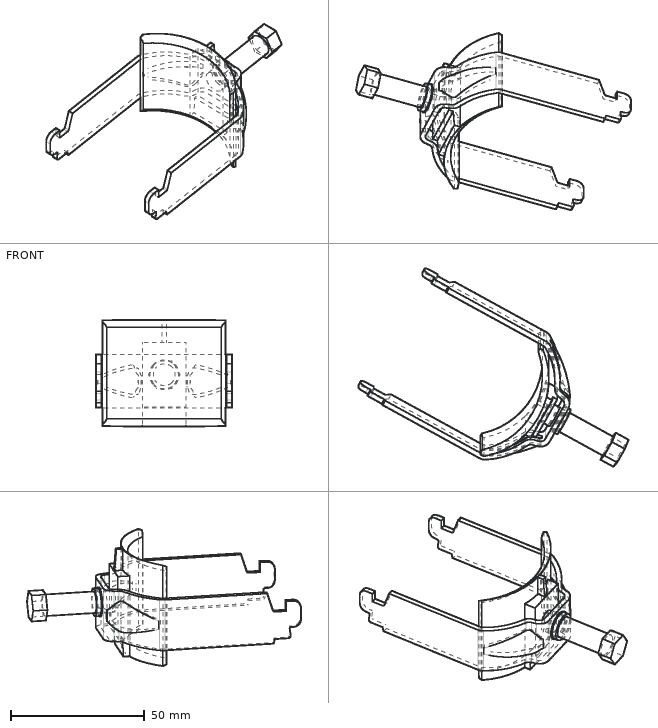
import cadquery as cq
import math


strap_thickness = 2.0
strap_bottom = -12.9
strap_height = 19.9
strap_top = strap_bottom + strap_height
strap_mid_z = strap_bottom + strap_height / 2
leg_outer_x = 25.5
leg_end_y = -71.9
back_corner_x = 10.2
valley_x = 11.6
valley_y = -6.2
shoulder_mid_x = 19.2
shoulder_mid_y = -10.9
leg_start_y = -18.7
back_bend_radius = 4.0
valley_bend_radius = 2.5
leg_bend_radius = 3.9

slot_floor_z = -0.4
slot_front_y = -59.0
slot_floor_start_y = -61.4
slot_end_y = -66.3
hook_top_z = 3.4
hook_bottom_z = -6.8
hook_radius = 3.0
tooth_root_y = -67.5
tooth_tip_y = -68.2
tooth_bottom_z = -11.1
tooth_start_y = -61.9
tooth_radius = 1.1
step_y = -61.5
inner_corner_radius = 0.6

bulge_axis_x = -14.3
bulge_axis_y = -37.6
bulge_crest_radius = 44.1
bulge_tube_radius = 7.5
bulge_start_angle = 27.0
bulge_sweep_angle = 30.0

bolt_z = -0.5
shaft_diameter = 8.2
shaft_end_y = -5.3
head_across_flats = 10.2
head_height = 5.5
head_top_y = 26.6

collar_height = 2.1
collar_diameter = 10.6
collar_foot_height = 0.4
collar_foot_bevel_height = 0.3
collar_foot_diameter = 11.1

saddle_height = 40.0
saddle_half_width = 23.0
saddle_end_y = -21.0
saddle_back_y = -8.7
saddle_outer_radius = 29.8
saddle_inner_radius = 28.8
saddle_thickness = 2.7
lip_height = 2.9
lip_depth = 2.5
lip_radius = 4.4
block_width = 16.45
block_height = 24.3
rib_width = 1.7
rib_foot_y = -5.6
rib_tip_y = -6.3
apron_foot_y = -7.1
apron_tip_y = -7.5


def fillet_at(body, direction, radius, points):
    """Round the edges that run along the given axis nearest to each point."""
    for point in points:
        edge = body.edges(f"|{direction}").edges(cq.NearestToPointSelector(point))
        body = edge.fillet(radius)
    return body


def strap_outer_form():
    """Filled form whose skin is the outer face of the strap, with legs left too long."""
    overrun_y = leg_end_y - 2 * strap_thickness
    form = (
        cq.Workplane("XY", origin=(0, 0, strap_bottom))
        .moveTo(-back_corner_x, 0)
        .lineTo(back_corner_x, 0)
        .lineTo(valley_x, valley_y)
        .threePointArc((shoulder_mid_x, shoulder_mid_y), (leg_outer_x, leg_start_y))
        .lineTo(leg_outer_x, overrun_y)
        .lineTo(-leg_outer_x, overrun_y)
        .lineTo(-leg_outer_x, leg_start_y)
        .threePointArc((-shoulder_mid_x, shoulder_mid_y), (-valley_x, valley_y))
        .close()
        .extrude(strap_height)
    )
    bends = [
        (back_corner_x, 0, back_bend_radius),
        (valley_x, valley_y, valley_bend_radius),
        (leg_outer_x, leg_start_y, leg_bend_radius),
    ]
    for x, y, radius in bends:
        form = fillet_at(form, "Z", radius, [(x, y, strap_mid_z), (-x, y, strap_mid_z)])
    return form


def bulge_tube(tube_radius):
    """The pair of bent tubes that form the bulges, one on each shoulder."""
    spine_radius = bulge_crest_radius - bulge_tube_radius
    tube = (
        cq.Workplane("XZ")
        .center(spine_radius, 0)
        .circle(tube_radius)
        .revolve(bulge_sweep_angle, (-spine_radius, 0, 0), (-spine_radius, 1, 0))
        .rotate((0, 0, 0), (0, 0, 1), bulge_start_angle)
        .translate((bulge_axis_x, bulge_axis_y, strap_mid_z))
    )
    return tube.union(tube.mirror("YZ"))


def leg_side_form():
    """Side outline of the strap with the hooked leg end, extruded across both legs."""
    form = (
        cq.Workplane("YZ", origin=(-leg_outer_x, 0, 0))
        .polyline([
            (0, strap_bottom),
            (0, strap_top),
            (slot_front_y, strap_top),
            (slot_floor_start_y, slot_floor_z),
            (slot_end_y, slot_floor_z),
            (slot_end_y, hook_top_z),
            (leg_end_y, hook_top_z),
            (leg_end_y, hook_bottom_z),
            (tooth_root_y, hook_bottom_z),
            (tooth_tip_y, tooth_bottom_z),
            (tooth_start_y, tooth_bottom_z),
            (step_y, strap_bottom),
        ])
        .close()
        .extrude(2 * leg_outer_x)
    )
    hook_corners = [(0, leg_end_y, hook_top_z), (0, leg_end_y, hook_bottom_z)]
    form = fillet_at(form, "X", hook_radius, hook_corners)
    form = fillet_at(form, "X", tooth_radius, [(0, tooth_tip_y, tooth_bottom_z)])
    inner_corners = [(0, slot_floor_start_y, slot_floor_z), (0, tooth_root_y, hook_bottom_z)]
    return fillet_at(form, "X", inner_corner_radius, inner_corners)


def y_cylinder(diameter, start_y, end_y):
    """Cylinder on the bolt axis, from one Y to a higher Y."""
    plane = cq.Workplane("XZ", origin=(0, end_y, bolt_z))
    return plane.circle(diameter / 2).extrude(end_y - start_y)


def make_strap():
    outer = strap_outer_form()
    inner = (
        outer.faces(">Z")
        .wires()
        .toPending()
        .offset2D(-strap_thickness)
        .extrude(-strap_height, combine=False)
    )
    hollow = bulge_tube(bulge_tube_radius - strap_thickness)
    bent_sheet = outer.intersect(leg_side_form()).union(bulge_tube(bulge_tube_radius))
    bolt_hole = y_cylinder(shaft_diameter, -strap_thickness, 0)
    return bent_sheet.cut(inner).cut(hollow).cut(bolt_hole)


def make_bolt():
    shaft = y_cylinder(shaft_diameter, shaft_end_y, head_top_y - head_height)
    head = (
        cq.Workplane("XZ", origin=(0, head_top_y, bolt_z))
        .polygon(6, head_across_flats / math.cos(math.pi / 6))
        .extrude(head_height)
    )
    return shaft.union(head)


def make_collar():
    ring = y_cylinder(collar_diameter, 0, collar_height)
    foot_flare = (collar_foot_diameter - collar_diameter) / 2
    foot = y_cylinder(collar_foot_diameter, 0, collar_foot_height)
    foot = foot.faces(">Y").chamfer(collar_foot_bevel_height, foot_flare)
    return ring.union(foot).cut(y_cylinder(shaft_diameter, 0, collar_height))


def upright_cylinder(radius, center_y):
    return cq.Workplane("XY").center(0, center_y).circle(radius).extrude(saddle_height / 2, both=True)


def saddle_lip_cutter():
    """Ring that rounds off the inner top edge of the saddle plate."""
    inner_front_y = saddle_back_y - saddle_thickness
    axis_y = inner_front_y - saddle_inner_radius
    top = saddle_height / 2
    inner = saddle_inner_radius
    outer = inner + lip_depth
    return (
        cq.Workplane("XZ", origin=(0, axis_y, 0))
        .moveTo(outer, top)
        .radiusArc((inner, top - lip_height), -lip_radius)
        .lineTo(inner - lip_height, top - lip_height)
        .lineTo(inner - lip_height, top)
        .close()
        .revolve(360, (0, 0, 0), (0, 1, 0))
    )


def wedge_behind_saddle(width, foot_y, foot_z, tip_y, tip_z, front_y):
    """Block of the given width whose back face leans from the foot to the tip."""
    return (
        cq.Workplane("YZ")
        .polyline([(front_y, foot_z), (foot_y, foot_z), (tip_y, tip_z), (front_y, tip_z)])
        .close()
        .extrude(width / 2, both=True)
    )


def make_saddle():
    outer_axis_y = saddle_back_y - saddle_outer_radius
    inner_axis_y = saddle_back_y - saddle_thickness - saddle_inner_radius
    block_top = bolt_z + block_height / 2
    block_bottom = bolt_z - block_height / 2
    top = saddle_height / 2
    front_y = saddle_back_y - saddle_thickness / 2

    end_trim = (
        cq.Workplane("XY")
        .box(2 * saddle_half_width, -saddle_end_y, saddle_height)
        .translate((0, saddle_end_y / 2, 0))
    )
    outer = upright_cylinder(saddle_outer_radius, outer_axis_y)
    inner = upright_cylinder(saddle_inner_radius, inner_axis_y)
    lip = saddle_lip_cutter()
    plate = outer.intersect(end_trim).cut(inner).cut(lip).cut(lip.mirror("XY"))

    block = wedge_behind_saddle(block_width, shaft_end_y, block_bottom, shaft_end_y, block_top, front_y)
    rib = wedge_behind_saddle(rib_width, rib_foot_y, block_top, rib_tip_y, top, front_y)
    apron = wedge_behind_saddle(block_width, apron_foot_y, block_bottom, apron_tip_y, -top, front_y)
    backing = block.union(rib).union(apron).cut(outer)
    return plate.union(backing)


strap = make_strap()
bolt = make_bolt()
collar = make_collar()
saddle = make_saddle()

result = cq.Compound.makeCompound([strap.val(), bolt.val(), collar.val(), saddle.val()])